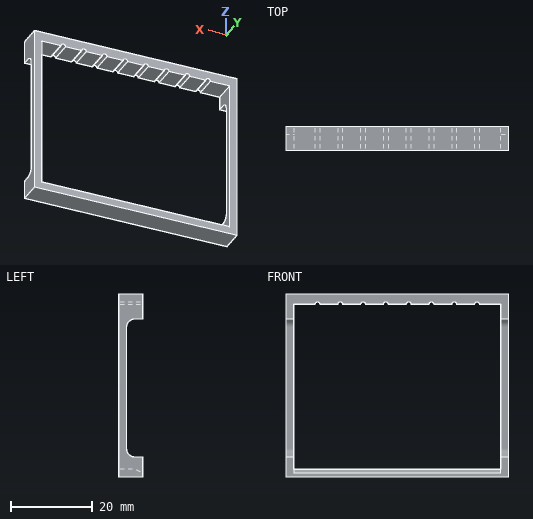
import cadquery as cq

width = 55.0
depth = 6.0
height = 45.2

post_width = 2.0
post_depth = 2.0
top_rail_height = 2.6
bottom_rail_height = 2.0

top_corner_height = 6.2
bottom_corner_height = 5.0
post_fillet_radius = 2.0

rail_lip_height = 1.0
slope_run_per_rise = 2.0
slope_fillet_radius = 2.5

notch_count = 8
notch_pitch = 5.62
notch_radius = 0.6

opening_width = width - 2 * post_width
opening_top = height - top_rail_height


def box_between(x_size, y_min, y_max, z_min, z_max):
    """Box centred on X, spanning the given Y and Z ranges."""
    return (
        cq.Workplane("XY")
        .box(x_size, y_max - y_min, z_max - z_min, centered=(True, False, False))
        .translate((0, y_min, z_min))
    )


def corner_blocks_and_posts():
    """Full-width block whose front is cut back, with filleted inner corners."""
    block = box_between(width, 0, depth, 0, height)
    post_front = depth - post_depth
    cut_back = box_between(
        width, 0, post_front, bottom_corner_height, height - top_corner_height
    )
    cut_back = cut_back.edges(">Y and |X").fillet(post_fillet_radius)
    return block.cut(cut_back)


def opening():
    """Through opening, above the bottom rail and below the top rail."""
    return box_between(opening_width, 0, depth, 0, opening_top)


def bottom_rail():
    """Rail between the posts, flat at the back and sloping down to a front lip."""
    slope_run = slope_run_per_rise * (bottom_rail_height - rail_lip_height)
    profile = [
        (0, 0),
        (depth, 0),
        (depth, bottom_rail_height),
        (slope_run, bottom_rail_height),
        (0, rail_lip_height),
    ]
    rail = (
        cq.Workplane("YZ")
        .polyline(profile)
        .close()
        .extrude(opening_width / 2, both=True)
    )
    crest = cq.selectors.NearestToPointSelector((0, slope_run, bottom_rail_height))
    return rail.edges(crest).fillet(slope_fillet_radius)


def notches():
    """Cylinders along Y, evenly spaced on the underside of the top rail."""
    return (
        cq.Workplane("XZ", origin=(0, 0, opening_top))
        .rarray(notch_pitch, 1, notch_count, 1)
        .circle(notch_radius)
        .extrude(-depth)
    )


result = corner_blocks_and_posts().cut(opening()).union(bottom_rail()).cut(notches())